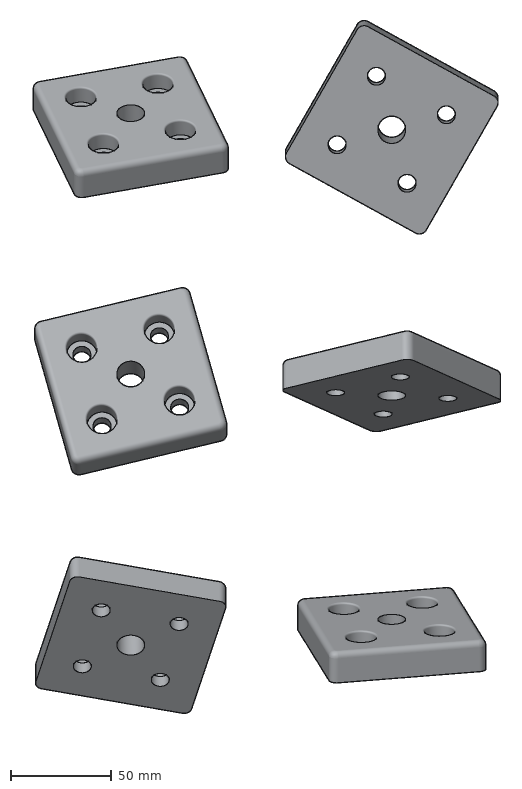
import cadquery as cq

side = 80.0
height = 16.0
corner_radius = 4.0
top_edge_radius = 3.0

center_hole_diameter = 13.8
screw_spacing = side / 2
screw_hole_diameter = 9.0
counterbore_diameter = 15.0
counterbore_depth = 9.0
mouth_radius = 1.0


def make_block():
    """Square plate with rounded corners and a rounded top rim."""
    block = cq.Workplane("XY").box(side, side, height, centered=(True, True, False))
    block = block.edges("|Z").fillet(corner_radius)
    return block.faces(">Z").edges().fillet(top_edge_radius)


def make_screw_hole_cutter():
    """Solid of revolution: through hole and counterbore with a rounded mouth."""
    hole_radius = screw_hole_diameter / 2
    bore_radius = counterbore_diameter / 2
    floor_z = height - counterbore_depth
    profile = (
        cq.Workplane("XZ")
        .lineTo(hole_radius, 0)
        .lineTo(hole_radius, floor_z)
        .lineTo(bore_radius, floor_z)
        .lineTo(bore_radius, height - mouth_radius)
        .radiusArc((bore_radius + mouth_radius, height), mouth_radius)
        .lineTo(0, height)
        .close()
    )
    return profile.revolve(360, (0, 0), (0, 1))


result = make_block().faces(">Z").workplane(origin=(0, 0, height)).hole(center_hole_diameter)

screw_hole_cutter = make_screw_hole_cutter()
for x_sign in (-1, 1):
    for y_sign in (-1, 1):
        position = (x_sign * screw_spacing / 2, y_sign * screw_spacing / 2, 0)
        result = result.cut(screw_hole_cutter.translate(position))